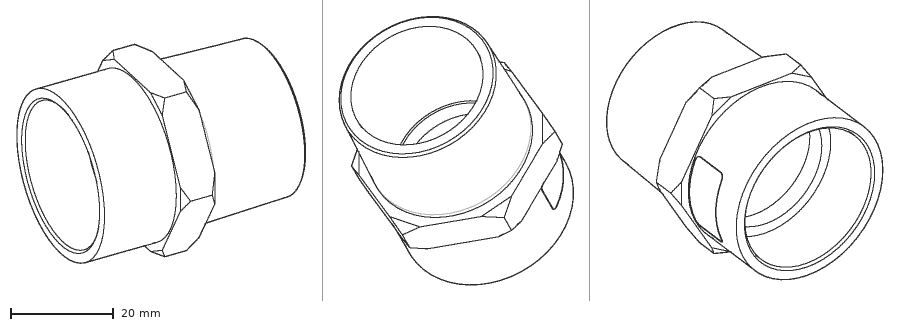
import cadquery as cq
import math


total_length = 46.0
socket_length = 16.0
hex_width = 7.95
hex_front = socket_length - total_length / 2
hex_back = hex_front + hex_width
front_end = -total_length / 2
back_end = total_length / 2

socket_outer_diameter = 35.25
socket_inner_diameter = 30.25
socket_depth = 14.0
socket_mouth_chamfer = 0.5

bore_diameter = 26.0
bore_length = 4.0

relief_diameter = 27.0

hex_sides = 6
hex_across_flats = 36.0
hex_across_corners = hex_across_flats / math.cos(math.pi / hex_sides)
front_corner_radial_cut = 1.55
front_corner_axial_cut = 1.43
back_corner_radial_cut = 2.05
back_corner_axial_cut = 1.7

spigot_base_diameter = 33.45
spigot_collar_length = 1.0
spigot_taper = 1 / 16
spigot_tip_chamfer = 0.5

pad_length = 8.85
pad_height = 16.0
pad_corner_radius = 1.0
pad_thickness = 0.115
pad_gap_to_hex = 0.45


def cylinder(diameter, start, end):
    """Solid cylinder on the Y axis between two Y positions."""
    return (
        cq.Workplane("XZ", origin=(0, start, 0))
        .circle(diameter / 2)
        .extrude(start - end)
    )


def make_spigot():
    """Collar behind the hexagon, then a taper that ends in a chamfered tip."""
    base_radius = spigot_base_diameter / 2
    collar_end = hex_back + spigot_collar_length
    tip_radius = base_radius - (back_end - collar_end) * spigot_taper / 2
    return (
        cq.Workplane("XY")
        .moveTo(0, hex_back)
        .lineTo(base_radius, hex_back)
        .lineTo(base_radius, collar_end)
        .lineTo(tip_radius, back_end - spigot_tip_chamfer)
        .lineTo(tip_radius - spigot_tip_chamfer, back_end)
        .lineTo(0, back_end)
        .close()
        .revolve(360, (0, 0, 0), (0, 1, 0))
    )


def corner_wedge(face_y, radial_cut, axial_cut):
    """Prism that bevels the +X corner of the hexagon; a negative axial cut points toward -Y."""
    corner = hex_across_corners / 2
    return (
        cq.Workplane("XY")
        .moveTo(corner - radial_cut, face_y)
        .lineTo(corner, face_y + axial_cut)
        .lineTo(corner, face_y)
        .close()
        .extrude(hex_across_flats / 2, both=True)
    )


def make_hexagon():
    """Hexagon with a flat bevel across each corner, larger on the back face."""
    hexagon = (
        cq.Workplane("XZ", origin=(0, hex_front, 0))
        .polygon(hex_sides, hex_across_corners)
        .extrude(-hex_width)
    )
    front_wedge = corner_wedge(hex_front, front_corner_radial_cut, front_corner_axial_cut)
    back_wedge = corner_wedge(hex_back, back_corner_radial_cut, -back_corner_axial_cut)
    for index in range(hex_sides):
        angle = 360 / hex_sides * index
        for wedge in (front_wedge, back_wedge):
            hexagon = hexagon.cut(wedge.rotate((0, 0, 0), (0, 1, 0), angle))
    return hexagon


def make_label_pad():
    """Rounded rectangle that stands slightly proud of the socket on its -X side."""
    pad_center_y = hex_front - pad_gap_to_hex - pad_length / 2
    outline = (
        cq.Workplane("YZ", origin=(0, pad_center_y, 0))
        .rect(pad_length, pad_height)
        .extrude(-socket_outer_diameter)
        .edges("|X")
        .fillet(pad_corner_radius)
    )
    raised_skin = cylinder(socket_outer_diameter + 2 * pad_thickness, front_end, hex_front)
    return raised_skin.intersect(outline)


def make_cavity():
    """Socket recess with a chamfered mouth, the narrow bore, then the wider relief to the spigot tip."""
    socket = cylinder(socket_inner_diameter, front_end, front_end + socket_depth)
    mouth = (
        cq.Workplane("XZ", origin=(0, front_end, 0))
        .circle(socket_inner_diameter / 2 + socket_mouth_chamfer)
        .extrude(-socket_mouth_chamfer, taper=45)
    )
    bore_end = front_end + socket_depth + bore_length
    bore = cylinder(bore_diameter, front_end, bore_end)
    relief = cylinder(relief_diameter, bore_end, back_end)
    return socket.union(mouth).union(bore).union(relief)


body = cylinder(socket_outer_diameter, front_end, hex_front)
body = body.union(make_label_pad()).union(make_hexagon()).union(make_spigot())
result = body.cut(make_cavity())